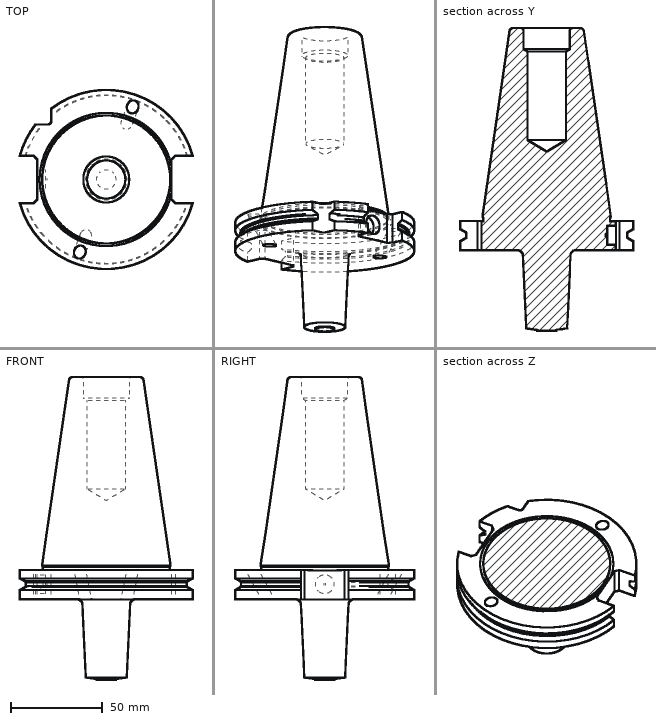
import cadquery as cq
import math


total_length = 164.8

taper_length = 101.8
gauge_radius = 35.0
taper_ratio = 7 / 24
taper_top_radius = gauge_radius - taper_length * taper_ratio / 2
taper_top_fillet = 2.1
gauge_land_bottom = -0.7
neck_top = -1.5
neck_radius = 34.6

flange_radius = 48.8
flange_top = -3.1
flange_bottom = -19.1
relief_radius = 36.2
relief_depth = 0.2
groove_center = -10.9
groove_mouth_width = 6.5
groove_floor_radius = 45.6
groove_wall_slope = 30
groove_corner_fillet = 0.8

shank_top_radius = 13.2
shank_bottom_radius = 11.2
shank_bottom = -61.6
shank_root_fillet = 2.8
boss_radius = 5.3
end_cone_height = 0.8
part_bottom = taper_length - total_length

counterbore_radius = 12.5
counterbore_depth = 11.5
mouth_fillet = 1.5
bore_radius = 10.4
bore_depth = 61.0
drill_point_angle = 118

slot_half_width = 12.9
slot_corner_chamfer = 2.0
left_slot_floor = 37.5
right_slot_floor = 35.6
notch_offset = 30.0
notch_corner_fillet = 1.6

chip_hole_radius = 5.1
chip_hole_depth = 4.6
chip_hole_pip_radius = 0.5
chip_hole_pip_depth = 0.8

coolant_hole_radius = 3.1
coolant_circle_radius = 42.0
coolant_bearing = 70
coolant_tilt = 30

CUT_MARGIN = 8.2
SELECT_MARGIN = 0.08


def drill_point_height(radius):
    return radius / math.tan(math.radians(drill_point_angle / 2))


def revolve_profile(points):
    """Revolve a closed (radius, z) outline about the Z axis."""
    return cq.Workplane("XZ").polyline(points).close().revolve(360, (0, 0, 0), (0, 1, 0))


def circle_edges_at(z, radius):
    """Selector box around a full circular edge centred on the Z axis."""
    reach = radius + SELECT_MARGIN
    low_corner = (-reach, -reach, z - SELECT_MARGIN)
    high_corner = (reach, reach, z + SELECT_MARGIN)
    return cq.selectors.BoxSelector(low_corner, high_corner, boundingbox=True)


def make_taper():
    taper = revolve_profile([
        (0, flange_bottom),
        (neck_radius, flange_bottom),
        (neck_radius, neck_top),
        (gauge_radius, gauge_land_bottom),
        (gauge_radius, 0),
        (taper_top_radius, taper_length),
        (0, taper_length),
    ])
    return taper.faces(">Z").edges().fillet(taper_top_fillet)


def make_flange():
    """Grooved flange with a shallow relief around the neck."""
    relief_floor = flange_top - relief_depth
    flange = revolve_profile([
        (0, flange_bottom),
        (flange_radius, flange_bottom),
        (flange_radius, flange_top),
        (relief_radius, flange_top),
        (relief_radius, relief_floor),
        (0, relief_floor),
    ])
    return flange.cut(make_groove())


def make_groove():
    """V-sided gripper groove with rounded floor corners."""
    wall_rise = (flange_radius - groove_floor_radius) * math.tan(math.radians(groove_wall_slope))
    mouth_half = groove_mouth_width / 2
    floor_half = mouth_half - wall_rise
    outer_radius = flange_radius + CUT_MARGIN
    groove = revolve_profile([
        (groove_floor_radius, groove_center - floor_half),
        (flange_radius, groove_center - mouth_half),
        (outer_radius, groove_center - mouth_half),
        (outer_radius, groove_center + mouth_half),
        (flange_radius, groove_center + mouth_half),
        (groove_floor_radius, groove_center + floor_half),
    ])
    for side in (-1, 1):
        corner = circle_edges_at(groove_center + side * floor_half, groove_floor_radius)
        groove = groove.edges(corner).fillet(groove_corner_fillet)
    return groove


def make_shank():
    return revolve_profile([
        (0, flange_bottom),
        (shank_top_radius, flange_bottom),
        (shank_bottom_radius, shank_bottom),
        (boss_radius, shank_bottom - end_cone_height),
        (boss_radius, part_bottom),
        (0, part_bottom),
    ])


def make_bore():
    bore_bottom = taper_length - bore_depth
    ledge = taper_length - counterbore_depth
    ledge_drop = drill_point_height(counterbore_radius) - drill_point_height(bore_radius)
    return revolve_profile([
        (0, taper_length),
        (counterbore_radius, taper_length),
        (counterbore_radius, ledge),
        (bore_radius, ledge - ledge_drop),
        (bore_radius, bore_bottom),
        (0, bore_bottom - drill_point_height(bore_radius)),
    ])


def make_drive_slot(side, floor):
    """Slot open outward on the given X side (-1 or 1), with chamfered floor corners."""
    floor_half = slot_half_width - slot_corner_chamfer
    shoulder = side * (floor + slot_corner_chamfer)
    open_end = side * (flange_radius + CUT_MARGIN)
    outline = [
        (side * floor, -floor_half),
        (shoulder, -slot_half_width),
        (open_end, -slot_half_width),
        (open_end, slot_half_width),
        (shoulder, slot_half_width),
        (side * floor, floor_half),
    ]
    return (
        cq.Workplane("XY", origin=(0, 0, flange_bottom))
        .polyline(outline).close()
        .extrude(flange_top - flange_bottom)
    )


def make_notch():
    """Square corner notch at the -X +Y side of the flange."""
    size = flange_radius - notch_offset
    return (
        cq.Workplane("XY", origin=(-notch_offset, notch_offset, flange_bottom))
        .rect(-size, size, centered=False)
        .extrude(flange_top - flange_bottom)
        .edges("|Z and >X and <Y").fillet(notch_corner_fillet)
    )


def make_chip_hole():
    """Flat-bottomed hole running in +X from the left slot floor, with a small centre pip."""
    slot_face = cq.Workplane("YZ", origin=(-left_slot_floor, 0, groove_center))
    hole = slot_face.circle(chip_hole_radius).extrude(chip_hole_depth)
    pip = slot_face.circle(chip_hole_pip_radius).extrude(chip_hole_depth + chip_hole_pip_depth)
    return hole.union(pip)


def make_coolant_hole(bearing):
    """Hole through the flange, leaning toward the axis as it goes down."""
    bearing = math.radians(bearing)
    tilt = math.radians(coolant_tilt)
    down_axis = cq.Vector(
        -math.sin(tilt) * math.cos(bearing),
        -math.sin(tilt) * math.sin(bearing),
        -math.cos(tilt),
    )
    entry = cq.Vector(
        coolant_circle_radius * math.cos(bearing),
        coolant_circle_radius * math.sin(bearing),
        flange_top,
    )
    length = (flange_top - flange_bottom) / math.cos(tilt) + 2 * CUT_MARGIN
    start = entry - down_axis * CUT_MARGIN
    return cq.Workplane(cq.Solid.makeCylinder(coolant_hole_radius, length, start, down_axis))


body = make_taper().union(make_flange()).union(make_shank())
body = body.edges(circle_edges_at(flange_bottom, shank_top_radius)).fillet(shank_root_fillet)

body = body.cut(make_bore())
body = body.edges(circle_edges_at(taper_length, counterbore_radius)).fillet(mouth_fillet)
body = body.cut(make_drive_slot(-1, left_slot_floor))
body = body.cut(make_drive_slot(1, right_slot_floor))
body = body.cut(make_notch())
body = body.cut(make_chip_hole())
for hole_bearing in (coolant_bearing, coolant_bearing + 180):
    body = body.cut(make_coolant_hole(hole_bearing))

result = body